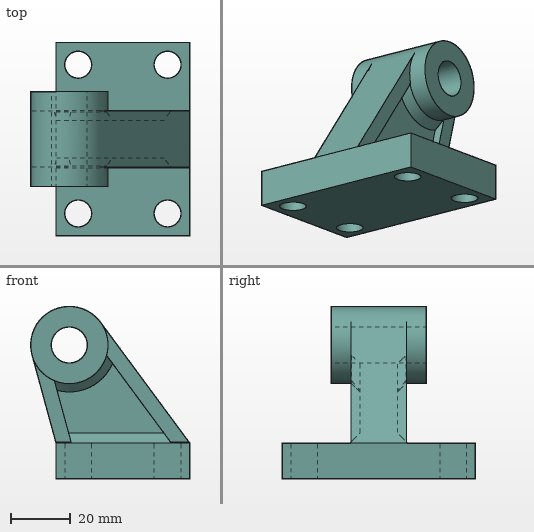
import cadquery as cq
import math

base_length = 45.0
base_width = 65.0
base_height = 12.0
mount_hole_diameter = 9.0
mount_hole_inset = 7.5
mount_hole_pitch_x = 30.0
mount_hole_pitch_y = 50.0

barrel_radius = 13.0
barrel_length = 32.0
bore_diameter = 12.0
barrel_x = 4.5
barrel_z = 45.0

flange_width = 18.7
flange_thickness = 5.0
web_thickness = 12.6
foot_bevel = 3.4
collar_bevel = 2.8


def y_prism(points, width):
    """Extrude an XZ outline symmetrically about the XZ plane."""
    return cq.Workplane("XZ", origin=(0, width / 2, 0)).polyline(points).close().extrude(width)


def y_cylinder(radius, length):
    """Cylinder on the barrel axis, centred in Y."""
    return cq.Workplane("XZ", origin=(barrel_x, length / 2, barrel_z)).circle(radius).extrude(length)


def tangent_foot(corner_x, side):
    """Unit outward normal of the flange face and its tangent point on the barrel.

    side is -1 for the left flange and 1 for the right one.
    """
    run = corner_x - barrel_x
    drop = base_height - barrel_z
    corner_angle = math.atan2(drop, run)
    normal_angle = corner_angle + side * math.acos(barrel_radius / math.hypot(run, drop))
    normal = (math.cos(normal_angle), math.sin(normal_angle))
    point = (barrel_x + barrel_radius * normal[0], barrel_z + barrel_radius * normal[1])
    return normal, point


left_normal, left_tangent = tangent_foot(0, -1)
right_normal, right_tangent = tangent_foot(base_length, 1)


def support_outline(inset):
    """Support outline with both inclined sides moved inward by inset."""
    return [
        (-inset / left_normal[0], base_height),
        (left_tangent[0] - inset * left_normal[0], left_tangent[1] - inset * left_normal[1]),
        (barrel_x, barrel_z),
        (right_tangent[0] - inset * right_normal[0], right_tangent[1] - inset * right_normal[1]),
        (base_length - inset / right_normal[0], base_height),
    ]


def make_base():
    hole_centre_x = mount_hole_inset + mount_hole_pitch_x / 2
    plate = cq.Workplane("XY").box(base_length, base_width, base_height, centered=(False, True, False))
    holes = (
        cq.Workplane("XY")
        .center(hole_centre_x, 0)
        .rarray(mount_hole_pitch_x, mount_hole_pitch_y, 2, 2)
        .circle(mount_hole_diameter / 2)
        .extrude(base_height)
    )
    return plate.cut(holes)


def make_flanges_and_web():
    flanges = y_prism(support_outline(0), flange_width).cut(
        y_prism(support_outline(flange_thickness), flange_width)
    )
    return flanges.union(y_prism(support_outline(0), web_thickness))


def make_foot_bevel():
    """45 degree bevels along both sides of the web where it meets the base."""
    start_x = barrel_x - barrel_radius
    top = web_thickness / 2
    bottom = top + foot_bevel
    return (
        cq.Workplane("YZ", origin=(start_x, 0, 0))
        .moveTo(-bottom, base_height)
        .lineTo(bottom, base_height)
        .lineTo(top, base_height + foot_bevel)
        .lineTo(-top, base_height + foot_bevel)
        .close()
        .extrude(base_length - start_x)
    )


def make_collar_bevel():
    """45 degree bevels around the barrel on both sides of the web."""
    collar = y_cylinder(barrel_radius + collar_bevel, web_thickness + 2 * collar_bevel)
    return collar.faces("<Y or >Y").chamfer(collar_bevel)


envelope = y_prism(support_outline(0), base_width)
bevels = make_foot_bevel().union(make_collar_bevel()).intersect(envelope)

result = (
    make_base()
    .union(make_flanges_and_web())
    .union(bevels)
    .union(y_cylinder(barrel_radius, barrel_length))
    .cut(y_cylinder(bore_diameter / 2, barrel_length))
)